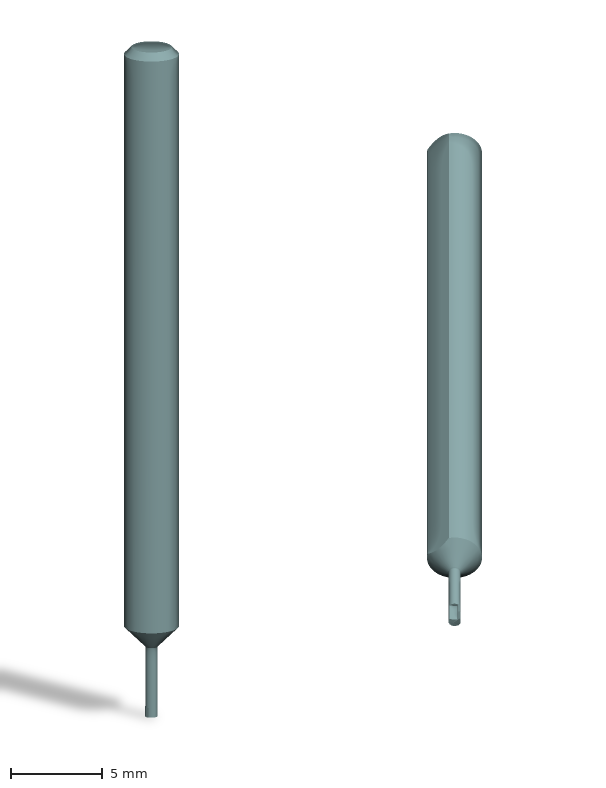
import cadquery as cq
import math

overall_length = 38.0

shank_radius = 1.5
flat_offset = 1.25
end_chamfer = 0.4

neck_radius = 0.325
neck_bottom = 0.06
cone_angle = 45.0
cone_top = 5.18

head_height = 0.6
tip_reach = 0.42
head_inner_x = 0.06
heel_x = -0.17
heel_y = -0.30
back_y = -0.35
relief_bulge = 0.02
end_relief_x = 5.0
end_relief_y = 3.0

groove_height = 1.15
groove_root_x = -0.2
groove_wall_angle = 52.0


def make_bar():
    """Shank, cone and neck as one revolved body."""
    cone_height = (shank_radius - neck_radius) / math.tan(math.radians(cone_angle))
    profile = [
        (0, neck_bottom),
        (neck_radius, neck_bottom),
        (neck_radius, cone_top - cone_height),
        (shank_radius, cone_top),
        (shank_radius, overall_length - end_chamfer),
        (shank_radius - end_chamfer, overall_length),
        (0, overall_length),
    ]
    return cq.Workplane("XZ").polyline(profile).close().revolve(360, (0, 0), (0, 1))


def make_flat_cutter():
    """Block that removes everything beyond the clamping flat."""
    side = 2 * shank_radius
    block = cq.Workplane("XY").box(side, side, overall_length, centered=(True, False, False))
    return block.translate((0, flat_offset, 0))


def make_head():
    """Cutting head with a curved side relief and a relieved end face."""
    chord_x = heel_x + tip_reach
    chord_y = heel_y
    chord = math.hypot(chord_x, chord_y)
    relief_middle = (
        -tip_reach + chord_x / 2 + relief_bulge * chord_y / chord,
        chord_y / 2 - relief_bulge * chord_x / chord,
    )
    head = (
        cq.Workplane("XY")
        .moveTo(-tip_reach, 0)
        .threePointArc(relief_middle, (heel_x, heel_y))
        .lineTo(head_inner_x, back_y)
        .lineTo(head_inner_x, 0)
        .close()
        .extrude(head_height)
    )
    side = 2 * shank_radius
    end_cutter = (
        cq.Workplane("XY")
        .box(side, side, side, centered=(True, True, False))
        .translate((0, 0, -side))
        .rotate((0, 0, 0), (1, 0, 0), -end_relief_y)
        .rotate((0, 0, 0), (0, 1, 0), -end_relief_x)
        .translate((-tip_reach, 0, 0))
    )
    return head.cut(end_cutter)


def make_groove_cutter():
    """Prism bounded by the rake face and the slanted groove wall."""
    reach = 2 * neck_radius
    wall_run = reach / math.tan(math.radians(groove_wall_angle))
    return (
        cq.Workplane("XY")
        .moveTo(-reach, 0)
        .lineTo(groove_root_x, 0)
        .lineTo(groove_root_x + wall_run, reach)
        .lineTo(-reach, reach)
        .close()
        .extrude(groove_height)
    )


result = make_bar().cut(make_flat_cutter()).union(make_head()).cut(make_groove_cutter())